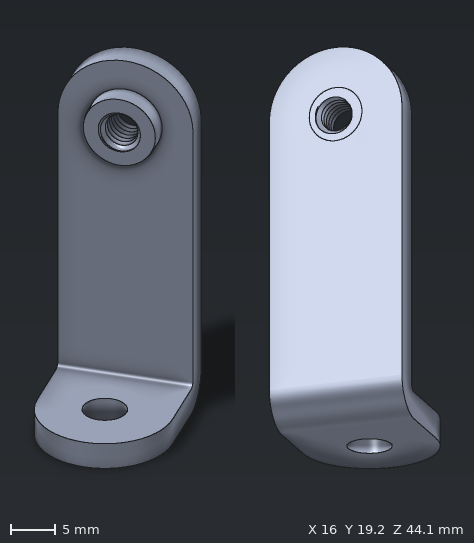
import cadquery as cq
import math

width = 16.0
height = 44.1
reach = 19.2
thickness = 3.2
inner_bend_radius = 0.8
outer_bend_radius = inner_bend_radius + thickness
end_radius = width / 2
base_hole_diameter = 5.1
base_hole_y = end_radius - reach

nut_axis_z = height - end_radius
collar_diameter = 8.7
collar_height = 2.35
collar_chamfer_length = 0.4
collar_chamfer_inset = 0.1
shank_diameter = 6.35
thread_major_diameter = 4.95
thread_minor_diameter = 3.75
countersink_diameter = 5.0
thread_pitch = 0.8

front_face_y = -thickness
collar_end_y = front_face_y - collar_height
nut_length = thickness + collar_height
minor_radius = thread_minor_diameter / 2
major_radius = thread_major_diameter / 2
tap_lead = 1.6 * thread_pitch


def cylinder_along_y(diameter, start_y, length):
    """Cylinder on the nut axis that runs from start_y toward +Y."""
    origin = cq.Vector(0, start_y, nut_axis_z)
    return cq.Workplane(cq.Solid.makeCylinder(diameter / 2, length, origin, cq.Vector(0, 1, 0)))


def make_bent_strip():
    """Square-ended L strip with concentric bend radii."""
    strip = (
        cq.Workplane("YZ")
        .polyline([
            (0, 0),
            (0, height),
            (front_face_y, height),
            (front_face_y, thickness),
            (-reach, thickness),
            (-reach, 0),
        ])
        .close()
        .extrude(width / 2, both=True)
    )
    inner_corner = cq.selectors.NearestToPointSelector((0, front_face_y, thickness))
    outer_corner = cq.selectors.NearestToPointSelector((0, 0, 0))
    strip = strip.edges(inner_corner).fillet(inner_bend_radius)
    return strip.edges(outer_corner).fillet(outer_bend_radius)


def round_ends(strip):
    """Keep only what lies inside the full-round outlines of both legs."""
    upright_outline = (
        cq.Workplane("XZ")
        .moveTo(-end_radius, 0)
        .lineTo(-end_radius, nut_axis_z)
        .threePointArc((0, height), (end_radius, nut_axis_z))
        .lineTo(end_radius, 0)
        .close()
        .extrude(reach)
    )
    base_outline = (
        cq.Workplane("XY")
        .moveTo(-end_radius, 0)
        .lineTo(-end_radius, base_hole_y)
        .threePointArc((0, -reach), (end_radius, base_hole_y))
        .lineTo(end_radius, 0)
        .close()
        .extrude(height)
    )
    return strip.intersect(upright_outline).intersect(base_outline)


def make_bracket():
    """Round-ended bracket with a base hole and a seat for the nut shank."""
    base_hole = (
        cq.Workplane("XY")
        .center(0, base_hole_y)
        .circle(base_hole_diameter / 2)
        .extrude(thickness)
    )
    shank_seat = cylinder_along_y(shank_diameter, front_face_y, thickness)
    return round_ends(make_bent_strip()).cut(base_hole).cut(shank_seat)


def helix_turn(radius, start_z):
    """One right-hand turn of a helix about the Z axis."""
    turn = cq.Wire.makeHelix(thread_pitch, thread_pitch, radius)
    return turn.translate(cq.Vector(0, 0, start_z)).Edges()[0]


def make_turn_flanks(start_z):
    """The two sloping faces of one turn of a sharp V thread, which meet at the major diameter."""
    inner_start = helix_turn(minor_radius, start_z)
    outer = helix_turn(major_radius, start_z + thread_pitch / 2)
    inner_end = helix_turn(minor_radius, start_z + thread_pitch)
    return [
        cq.Face.makeRuledSurface(inner_start, outer),
        cq.Face.makeRuledSurface(outer, inner_end),
    ]


def make_tap_end(start_z):
    """End faces of the tap: a one-turn ramp from the axis, and the radial step that the turn leaves."""
    axis_start = cq.Vector(0, 0, start_z)
    axis_end = cq.Vector(0, 0, start_z + thread_pitch)
    ramp = cq.Face.makeRuledSurface(
        helix_turn(minor_radius, start_z), cq.Edge.makeLine(axis_start, axis_end)
    )
    step_outline = [
        axis_start,
        cq.Vector(minor_radius, 0, start_z),
        cq.Vector(major_radius, 0, start_z + thread_pitch / 2),
        cq.Vector(minor_radius, 0, start_z + thread_pitch),
        axis_end,
    ]
    step = cq.Face.makeFromWires(cq.Wire.makePolygon(step_outline, close=True))
    return [ramp, step]


def make_tap():
    """V-threaded rod on the nut axis that fills the bore and stands out past both nut ends."""
    turn_count = math.ceil(nut_length / thread_pitch) + 3
    faces = make_tap_end(0) + make_tap_end(turn_count * thread_pitch)
    for index in range(turn_count):
        faces += make_turn_flanks(index * thread_pitch)
    tap = cq.Workplane(cq.Solid.makeSolid(cq.Shell.makeShell(faces)))
    return tap.rotate((0, 0, 0), (1, 0, 0), -90).translate((0, collar_end_y - tap_lead, nut_axis_z))


def make_entry_countersink():
    """45 degree cone that opens the thread at the collar end."""
    mouth_radius = countersink_diameter / 2
    return cq.Workplane(cq.Solid.makeCone(
        mouth_radius, 0, mouth_radius, cq.Vector(0, collar_end_y, nut_axis_z), cq.Vector(0, 1, 0)
    ))


def make_nut():
    """Collar and shank in one piece with a threaded bore right through."""
    collar = cylinder_along_y(collar_diameter, collar_end_y, collar_height)
    collar = collar.faces("<Y").edges().chamfer(collar_chamfer_length, collar_chamfer_inset)
    shank = cylinder_along_y(shank_diameter, front_face_y, thickness)
    return collar.union(shank).cut(make_entry_countersink()).cut(make_tap())


bracket = make_bracket()
nut = make_nut()

result = cq.Compound.makeCompound([bracket.val(), nut.val()])